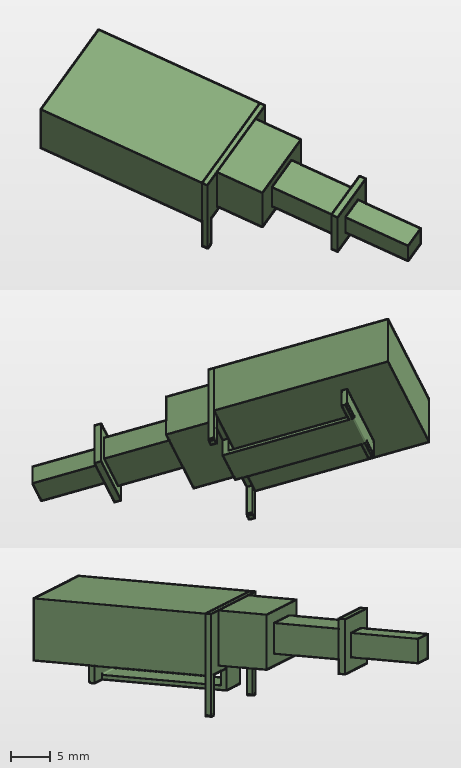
import cadquery as cq

total_length = 50.6
block_end = 23.7
collar_end = 31.1
stem_end = 40.5
flange_thickness = 0.9
flange_end = stem_end + flange_thickness
block_width = 14.8
block_height = 8.1
collar_width = 9.85
collar_height = 7.2
stem_width = 5.0
stem_height = 4.0
flange_side = 7.2
tip_width = 3.25
tip_height = 3.2

stem_top = -1.55
tip_top = -2.2

sheet = 0.75
plate_end = block_end + sheet
leg_bottom = -13.4
leg_width = 1.05
leg_chamfer = 0.2
hanger_start = 6.55
hanger_end = hanger_start + sheet
hanger_width = 9.65
hanger_chamfer = 0.25
strip_width = 4.5
strip_thickness = 0.6
strip_bottom = -11.0
strip_top = strip_bottom + strip_thickness
inner_bend = 0.2
outer_bend = 0.4


def section(x_start, x_end, width, z_bottom, z_top, y_center=0.0):
    """Make a rectangular bar between two X and two Z positions."""
    bar = cq.Workplane("XY").box(x_end - x_start, width, z_top - z_bottom, centered=(False, True, False))
    return bar.translate((x_start, y_center, z_bottom))


def make_neck():
    return section(block_end, plate_end, stem_width, stem_top - stem_height, stem_top)


def make_switch_body():
    block = section(0, block_end, block_width, -block_height, 0)
    neck = make_neck()
    collar = section(plate_end, collar_end, collar_width, -collar_height, 0)
    stem = section(collar_end, stem_end, stem_width, stem_top - stem_height, stem_top)
    flange = section(stem_end, flange_end, flange_side, -flange_side, 0)
    tip = section(flange_end, total_length, tip_width, tip_top - tip_height, tip_top)
    return block.union(neck).union(collar).union(stem).union(flange).union(tip)


def make_leg(side):
    y_center = side * (block_width - leg_width) / 2
    leg = section(block_end, plate_end, leg_width, leg_bottom, -block_height, y_center)
    return leg.faces("<Z").edges("|X").chamfer(leg_chamfer)


def make_hanger():
    hanger = section(hanger_start, hanger_end, hanger_width, strip_bottom, -block_height)
    hanger = hanger.edges("<X and <Z").chamfer(hanger_chamfer)
    bend_blank = section(hanger_start, hanger_start + outer_bend, strip_width,
                         strip_bottom, strip_bottom + outer_bend)
    bend_round = (
        cq.Workplane("XZ")
        .center(hanger_start + outer_bend, strip_bottom + outer_bend)
        .circle(outer_bend)
        .extrude(strip_width / 2, both=True)
    )
    return hanger.cut(bend_blank.cut(bend_round))


def make_strip():
    """Make the strip and its hidden upright, with a small radius in each inner bend."""
    profile = (
        cq.Workplane("XZ")
        .moveTo(hanger_end, strip_bottom)
        .lineTo(plate_end, strip_bottom)
        .lineTo(plate_end, -block_height)
        .lineTo(block_end, -block_height)
        .lineTo(block_end, strip_top + inner_bend)
        .radiusArc((block_end - inner_bend, strip_top), inner_bend)
        .lineTo(hanger_end + inner_bend, strip_top)
        .radiusArc((hanger_end, strip_top + inner_bend), inner_bend)
        .close()
    )
    return profile.extrude(strip_width / 2, both=True)


def make_bracket():
    plate = section(block_end, plate_end, block_width, -block_height, 0)
    bracket = plate.cut(make_neck())
    for side in (-1, 1):
        bracket = bracket.union(make_leg(side))
    return bracket.union(make_strip()).union(make_hanger())


switch_body = make_switch_body()
bracket = make_bracket()
result = cq.Compound.makeCompound([switch_body.val(), bracket.val()])